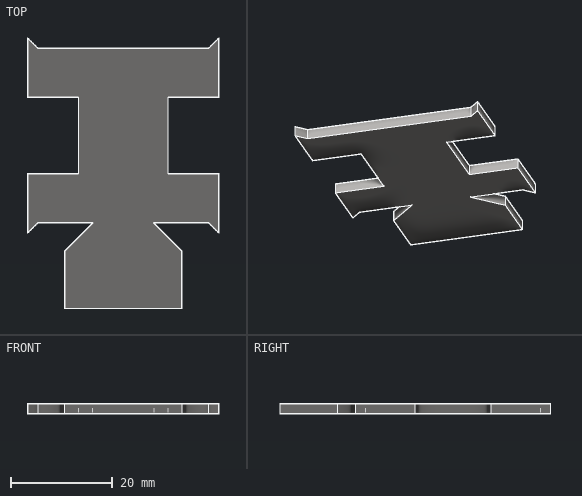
import cadquery as cq

thickness = 2.0
overall_width = 37.56
overall_length = 53.17
half_width = overall_width / 2

barb_size = 2.0

arm_length = 9.67
web_half_width = 8.8
web_length = 15.0

foot_half_width = 11.5
shoulder_size = 5.48
neck_half_width = foot_half_width - shoulder_size

top_tip_y = overall_length / 2
upper_arm_top_y = top_tip_y - barb_size
upper_arm_bottom_y = upper_arm_top_y - arm_length
lower_arm_top_y = upper_arm_bottom_y - web_length
lower_arm_bottom_y = lower_arm_top_y - arm_length
bottom_tip_y = lower_arm_bottom_y - barb_size
foot_top_y = lower_arm_bottom_y - shoulder_size
foot_bottom_y = -overall_length / 2


def plate_outline():
    """Right side from the top down to the foot, then its mirror image back up."""
    right_side = [
        (half_width - barb_size, upper_arm_top_y),
        (half_width, top_tip_y),
        (half_width, upper_arm_bottom_y),
        (web_half_width, upper_arm_bottom_y),
        (web_half_width, lower_arm_top_y),
        (half_width, lower_arm_top_y),
        (half_width, bottom_tip_y),
        (half_width - barb_size, lower_arm_bottom_y),
        (neck_half_width, lower_arm_bottom_y),
        (foot_half_width, foot_top_y),
        (foot_half_width, foot_bottom_y),
    ]
    left_side = [(-x, y) for x, y in reversed(right_side)]
    return right_side + left_side


result = cq.Workplane("XY").polyline(plate_outline()).close().extrude(thickness)